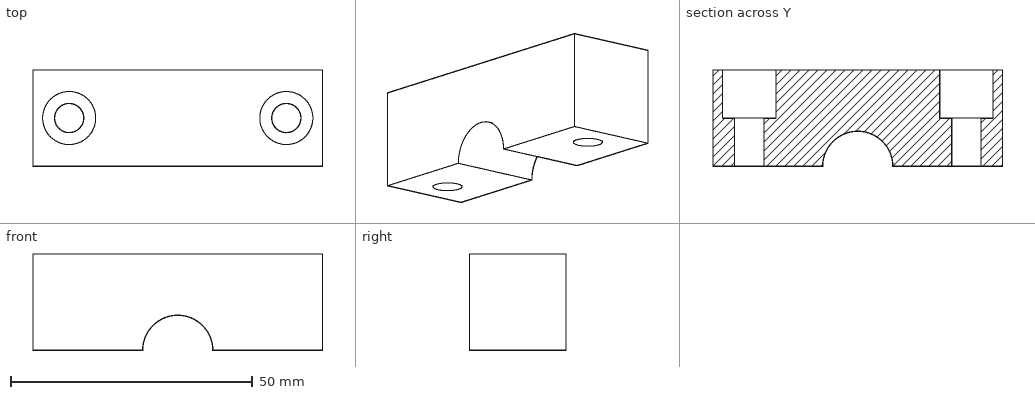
import cadquery as cq

length = 60.0
width = 20.0
height = 20.0

groove_diameter = 14.5

hole_spacing = 45.0
hole_diameter = 6.0
counterbore_diameter = 11.0
counterbore_depth = height / 2


def make_block():
    """Rectangular block standing on z = 0, centred in X and Y."""
    return cq.Workplane("XY").box(length, width, height, centered=(True, True, False))


def cut_groove(body):
    """Cut the half-round groove through the block along Y."""
    cutter = cq.Workplane("XZ").circle(groove_diameter / 2).extrude(width / 2, both=True)
    return body.cut(cutter)


def cut_screw_holes(body):
    """Drill the through holes and counterbore them from the top face."""
    hole_centres = [(side * hole_spacing / 2, 0) for side in (-1, 1)]
    top_plane = cq.Workplane("XY").workplane(offset=height)
    holes = top_plane.pushPoints(hole_centres).circle(hole_diameter / 2).extrude(-height)
    counterbores = (
        top_plane.pushPoints(hole_centres)
        .circle(counterbore_diameter / 2)
        .extrude(-counterbore_depth)
    )
    return body.cut(holes).cut(counterbores)


result = cut_screw_holes(cut_groove(make_block()))